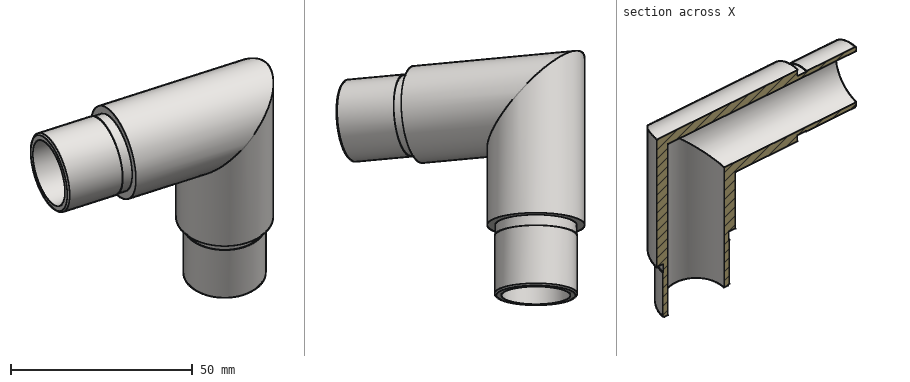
import cadquery as cq

BODY_DIAMETER = 26.9
SPIGOT_DIAMETER = 22.8
NECK_DIAMETER = 22.4
BORE_DIAMETER = 19.0
OVERALL_LENGTH = 68.0
SPIGOT_LENGTH = 20.0
NECK_LENGTH = 3.0
END_CHAMFER = 0.5

MITRE_OFFSET = BODY_DIAMETER / 2
END_DISTANCE = OVERALL_LENGTH - MITRE_OFFSET
SHOULDER_DISTANCE = END_DISTANCE - SPIGOT_LENGTH
NECK_END_DISTANCE = SHOULDER_DISTANCE + NECK_LENGTH


def downward_cylinder(diameter, start, end):
    """Cylinder on the Z axis between two distances below the origin."""
    return cq.Workplane("XY").workplane(offset=-start).circle(diameter / 2).extrude(start - end)


def lower_mitre_half():
    """Block just enclosing the Z leg, cut off above by the mitre plane Z = Y."""
    return (
        cq.Workplane("YZ")
        .moveTo(MITRE_OFFSET, MITRE_OFFSET)
        .lineTo(MITRE_OFFSET, -END_DISTANCE)
        .lineTo(-MITRE_OFFSET, -END_DISTANCE)
        .lineTo(-MITRE_OFFSET, -MITRE_OFFSET)
        .close()
        .extrude(MITRE_OFFSET, both=True)
    )


def vertical_leg():
    """Hollow leg towards -Z, cut at 45 degrees where it meets the other leg."""
    body = downward_cylinder(BODY_DIAMETER, -MITRE_OFFSET, SHOULDER_DISTANCE)
    neck = downward_cylinder(NECK_DIAMETER, SHOULDER_DISTANCE, NECK_END_DISTANCE)
    spigot = downward_cylinder(SPIGOT_DIAMETER, NECK_END_DISTANCE, END_DISTANCE)
    spigot = spigot.faces("<Z").edges().chamfer(END_CHAMFER)
    bore = downward_cylinder(BORE_DIAMETER, -MITRE_OFFSET, END_DISTANCE)
    return body.union(neck).union(spigot).cut(bore).intersect(lower_mitre_half())


def swap_leg_direction(leg):
    """Mirror a leg through the mitre plane Z = Y, so that -Z becomes -Y."""
    return leg.mirror("XY").rotate((0, 0, 0), (1, 0, 0), 90)


leg = vertical_leg()
result = leg.union(swap_leg_direction(leg))